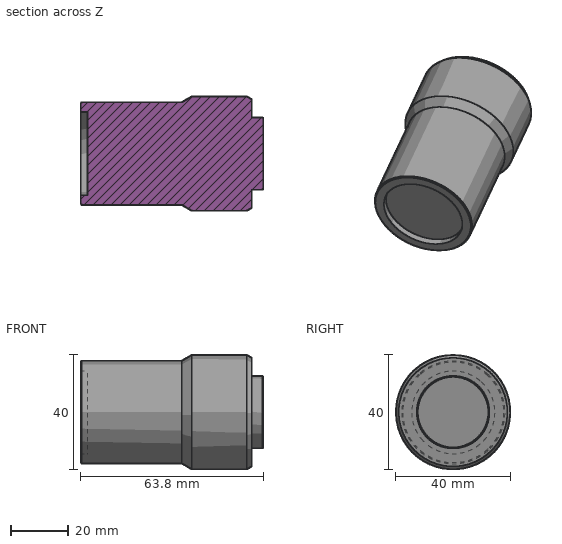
import cadquery as cq

total_length = 63.8
barrel_radius = 18.0
barrel_length = 35.35
barrel_chamfer = 0.4
head_diameter = 40.0
head_radius = head_diameter / 2
head_cone_end = 38.7
head_chamfer_length = 1.7
head_chamfer_height = 1.0
spigot_radius = 12.7
spigot_length = 4.0
spigot_chamfer = 0.4
recess_radius = 14.5
recess_depth = 2.35

head_end = total_length - spigot_length

half_section = (
    cq.Workplane("XZ")
    .moveTo(recess_depth, 0)
    .lineTo(recess_depth, recess_radius)
    .lineTo(0, recess_radius)
    .lineTo(0, barrel_radius - barrel_chamfer)
    .lineTo(barrel_chamfer, barrel_radius)
    .lineTo(barrel_length, barrel_radius)
    .lineTo(head_cone_end, head_radius)
    .lineTo(head_end - head_chamfer_length, head_radius)
    .lineTo(head_end, head_radius - head_chamfer_height)
    .lineTo(head_end, spigot_radius)
    .lineTo(total_length - spigot_chamfer, spigot_radius)
    .lineTo(total_length, spigot_radius - spigot_chamfer)
    .lineTo(total_length, 0)
    .close()
)

result = half_section.revolve(360, (0, 0, 0), (1, 0, 0))